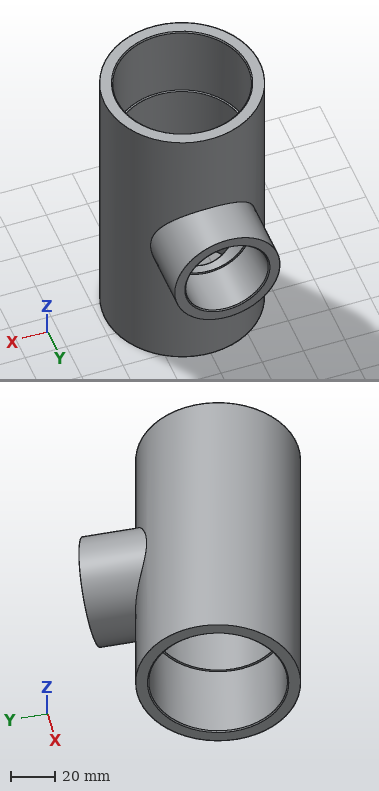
import cadquery as cq

run_length = 142.0
run_diameter = 75.0
run_bore = 61.0
run_socket_bore = 63.0
run_socket_depth = 38.3

overall_depth = 96.5
branch_diameter = 51.0
branch_bore = 38.0
branch_socket_bore = 40.0
branch_socket_depth = 24.1

mouth_chamfer = 0.5

branch_reach = overall_depth - run_diameter / 2


def run_cylinder(diameter, bottom, height):
    """Cylinder on the pipe axis, rising from the height `bottom`."""
    return cq.Workplane("XY").workplane(offset=bottom).circle(diameter / 2).extrude(height)


def branch_cylinder(diameter, start, length):
    """Cylinder on the branch axis, running toward +Y from `start`."""
    return cq.Workplane("XZ", origin=(0, start, 0)).circle(diameter / 2).extrude(-length)


body = run_cylinder(run_diameter, -run_length / 2, run_length)
body = body.union(branch_cylinder(branch_diameter, 0, branch_reach))

body = body.cut(run_cylinder(run_bore, -run_length / 2, run_length))
body = body.cut(branch_cylinder(branch_bore, 0, branch_reach))

for socket_bottom in (-run_length / 2, run_length / 2 - run_socket_depth):
    body = body.cut(run_cylinder(run_socket_bore, socket_bottom, run_socket_depth))
body = body.cut(
    branch_cylinder(branch_socket_bore, branch_reach - branch_socket_depth, branch_socket_depth)
)

for mouth_face in ("<Z", ">Z", ">Y"):
    inner_wire = body.faces(mouth_face).val().innerWires()[0]
    body = body.newObject(inner_wire.Edges()).chamfer(mouth_chamfer)

result = body